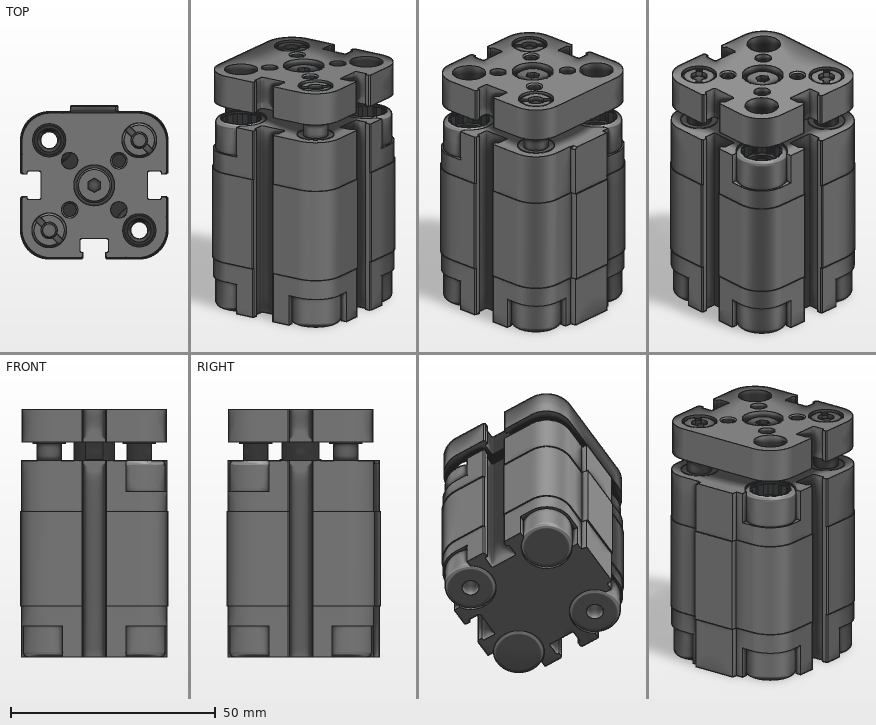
import cadquery as cq
import math

body_height = 48.0
yoke_gap = 4.5
yoke_thickness = 8.0
yoke_bottom = body_height + yoke_gap
yoke_top = yoke_bottom + yoke_thickness
corner_offset = 11.0
inner_hole_offset = 6.0

barrel_size = 36.0
cap_size = 35.6
yoke_size = 35.25
housing_round_center = 11.0
yoke_round_center = 10.8
bottom_cap_height = 12.5
top_cap_height = 12.5
barrel_height = body_height - bottom_cap_height - top_cap_height
barrel_top = bottom_cap_height + barrel_height

slot_neck_width = 5.5
slot_width = 6.9
slot_floor = 13.05
slot_shoulder = 16.4
slot_corner_radius = 0.4
slot_lip_radius = 0.3

rail_base_width = 11.8
rail_top_width = 11.4
rail_barrel_face = 19.5
rail_cap_face = 19.2
rail_bevel = 0.7

boss_diameter = 12.5
boss_height = 7.6
boss_round = 1.1
relief_inner = 7.7
socket_mouth_diameter = 10.0
socket_mouth_depth = 0.5
socket_across_flats = 8.6
socket_hexagon_angles = (45.0, 75.0)
socket_depth = 3.3
screw_bore_diameter = 7.2
screw_bore_depth = 4.2
thread_core_diameter = 4.13
thread_mouth_diameter = 5.8

rod_diameter = 10.0
rod_flats = 9.0
rod_round_length = 0.25
guide_diameter = 6.0
guide_collar_diameter = 8.0
guide_collar_height = 0.4
guide_recess_diameter = 9.0
guide_recess_depth = 0.2

access_hole_diameter = 8.1
plain_hole_diameter = 4.0
tapped_core_diameter = 3.24
tapped_mouth_diameter = 4.0
guide_pocket_diameter = 8.5
guide_head_diameter = 8.4
guide_pocket_depth = 0.9
guide_head_height = 0.5
guide_head_top_diameter = 7.4
driver_slot_angle = -45.0
driver_slot_width = 1.5
driver_slot_depth = 1.1
guide_socket_diameter = 4.0
guide_socket_depth = 1.3
guide_plug_height = 0.4
guide_plug_top_diameter = 3.24
counterbore_diameter = 10.0
counterbore_depth = 1.8
bolt_head_diameter = 8.5
bolt_head_height = 0.75
bolt_head_chamfer = 0.4
bolt_hex = 3.0
bolt_hex_angle = 0.0
bolt_hex_depth = 2.0

screw_corners = [(-corner_offset, corner_offset), (corner_offset, -corner_offset)]
guide_corners = [(-corner_offset, -corner_offset), (corner_offset, corner_offset)]
all_corners = screw_corners + guide_corners


def cylinder(point, bottom, height, diameter):
    return cq.Workplane("XY", origin=(*point, bottom)).circle(diameter / 2).extrude(height)


def cone(point, bottom, height, bottom_diameter, top_diameter):
    solid = cq.Solid.makeCone(
        bottom_diameter / 2, top_diameter / 2, height, cq.Vector(*point, bottom)
    )
    return cq.Workplane(solid)


def hex_prism(point, bottom, height, across_flats, angle):
    return (
        cq.Workplane("XY", origin=(*point, bottom))
        .transformed(rotate=(0, 0, angle))
        .polygon(6, across_flats, circumscribed=True)
        .extrude(height)
    )


def rounded_block(size, round_center, bottom, height):
    """Square prism whose vertical corners are rounded about the given centres."""
    radius = size / 2 - round_center
    block = cq.Workplane("XY", origin=(0, 0, bottom)).rect(size, size).extrude(height)
    return block.edges("|Z").fillet(radius)


def t_slots(size, bottom, height):
    """Cutters for the T-slots on the -Y, +X and -X sides of a block of the given size."""
    face = size / 2
    lip = slot_lip_radius
    half_neck = slot_neck_width / 2
    channel = (
        cq.Workplane("XY", origin=(0, -(slot_floor + slot_shoulder) / 2, bottom))
        .rect(slot_width, slot_shoulder - slot_floor)
        .extrude(height)
        .edges("|Z")
        .fillet(slot_corner_radius)
    )
    neck = (
        cq.Workplane("XY", origin=(0, 0, bottom))
        .moveTo(-half_neck, -slot_floor - slot_corner_radius)
        .lineTo(-half_neck, -face + lip)
        .radiusArc((-half_neck - lip, -face), -lip)
        .lineTo(half_neck + lip, -face)
        .radiusArc((half_neck, -face + lip), -lip)
        .lineTo(half_neck, -slot_floor - slot_corner_radius)
        .close()
        .extrude(height)
    )
    slot = channel.union(neck)
    cutters = slot
    for angle in (90, -90):
        cutters = cutters.union(slot.rotate((0, 0, 0), (0, 0, 1), angle))
    return cutters


def housing_section(size, rail_face, bottom, height):
    """One stretch of the housing: block with T-slots and the sensor rail."""
    half_base = rail_base_width / 2
    half_top = rail_top_width / 2
    rail_foot = barrel_size / 2
    rail_profile = [
        (-half_base, 0),
        (-half_base, rail_foot),
        (-half_top, rail_face),
        (half_top, rail_face),
        (half_base, rail_foot),
        (half_base, 0),
    ]
    rail = cq.Workplane("XY", origin=(0, 0, bottom)).polyline(rail_profile).close().extrude(height)
    block = rounded_block(size, housing_round_center, bottom, height)
    return block.cut(t_slots(size, bottom, height)).union(rail)


def rail_end_bevel():
    """Cutter that bevels the +X edge of the rail's upper end."""
    edge = rail_base_width / 2
    return (
        cq.Workplane("XZ", origin=(0, barrel_size / 2, 0))
        .polyline([
            (edge, body_height),
            (edge - rail_bevel, body_height),
            (edge, body_height - rail_bevel),
        ])
        .close()
        .extrude(-barrel_size / 2)
    )


def corner_relief(point, bottom):
    """Space around a boss: the square housing corner and the full boss circle."""
    side = cap_size / 2 - relief_inner
    center = relief_inner + side / 2
    x = math.copysign(center, point[0])
    y = math.copysign(center, point[1])
    corner = cq.Workplane("XY", origin=(x, y, bottom)).rect(side, side).extrude(boss_height)
    return corner.union(cylinder(point, bottom, boss_height, boss_diameter))


def screw_socket(point):
    """Twelve-point driver socket in the top of a corner screw, down to its bore."""
    mouth = cylinder(
        point, body_height - socket_mouth_depth, socket_mouth_depth, socket_mouth_diameter
    )
    for angle in socket_hexagon_angles:
        mouth = mouth.union(
            hex_prism(point, body_height - socket_depth, socket_depth, socket_across_flats, angle)
        )
    bore = cylinder(point, body_height - screw_bore_depth, screw_bore_depth, screw_bore_diameter)
    mouth_height = (thread_mouth_diameter - thread_core_diameter) / 2
    countersink = cone(
        point,
        body_height - screw_bore_depth - mouth_height,
        mouth_height,
        thread_core_diameter,
        thread_mouth_diameter,
    )
    return mouth.union(bore).union(countersink)


def make_housing():
    body = (
        housing_section(cap_size, rail_cap_face, 0, bottom_cap_height)
        .union(housing_section(barrel_size, rail_barrel_face, bottom_cap_height, barrel_height))
        .union(housing_section(cap_size, rail_cap_face, barrel_top, top_cap_height))
    )
    for point in all_corners:
        boss = cylinder(point, 0, boss_height, boss_diameter).faces("<Z").edges().fillet(boss_round)
        body = body.cut(corner_relief(point, 0)).union(boss)
    for point in screw_corners:
        bottom = body_height - boss_height
        boss = cylinder(point, bottom, boss_height, boss_diameter)
        boss = boss.faces(">Z").edges().fillet(boss_round)
        body = body.cut(corner_relief(point, bottom)).union(boss)
        body = body.cut(screw_socket(point))
        body = body.cut(cylinder(point, 0, body_height, thread_core_diameter))
    for point in guide_corners:
        body = body.cut(cylinder(point, barrel_top, top_cap_height, guide_diameter))
        recess_bottom = body_height - guide_recess_depth
        body = body.cut(cylinder(point, recess_bottom, guide_recess_depth, guide_recess_diameter))
    body = body.cut(cylinder((0, 0), barrel_top, top_cap_height, rod_diameter))
    return body.cut(rail_end_bevel())


def guide_head_cutter(point):
    """Pocket around a guide screw head, with the head's driver slot and central socket."""
    pocket_bottom = yoke_top - guide_pocket_depth
    head_top = pocket_bottom + guide_head_height
    socket_bottom = head_top - guide_socket_depth
    pocket = cylinder(point, pocket_bottom, guide_pocket_depth, guide_pocket_diameter)
    head = cone(
        point, pocket_bottom, guide_head_height, guide_head_diameter, guide_head_top_diameter
    )
    socket = cylinder(point, socket_bottom, guide_socket_depth, guide_socket_diameter)
    plug = cone(
        point, socket_bottom, guide_plug_height, guide_socket_diameter, guide_plug_top_diameter
    )
    slot_bottom = head_top - driver_slot_depth
    slot_limit = cylinder(point, slot_bottom, driver_slot_depth, guide_head_diameter)
    slot = (
        cq.Workplane("XY", origin=(*point, slot_bottom))
        .transformed(rotate=(0, 0, driver_slot_angle))
        .rect(guide_head_diameter, driver_slot_width)
        .extrude(driver_slot_depth)
        .intersect(slot_limit)
        .cut(socket)
    )
    return pocket.cut(head).union(slot).union(socket.cut(plug))


def inner_hole_point(corner):
    """Centre of the small yoke hole on the same diagonal as the given corner."""
    return tuple(math.copysign(inner_hole_offset, coordinate) for coordinate in corner)


def make_yoke_plate():
    plate = rounded_block(yoke_size, yoke_round_center, yoke_bottom, yoke_thickness)
    plate = plate.cut(t_slots(yoke_size, yoke_bottom, yoke_thickness))
    for corner in screw_corners:
        inner = inner_hole_point(corner)
        plate = plate.cut(cylinder(corner, yoke_bottom, yoke_thickness, access_hole_diameter))
        plate = plate.cut(cylinder(inner, yoke_bottom, yoke_thickness, plain_hole_diameter))
    mouth_depth = (tapped_mouth_diameter - tapped_core_diameter) / 2
    mouth_bottom = yoke_top - mouth_depth
    for corner in guide_corners:
        inner = inner_hole_point(corner)
        mouth = cone(inner, mouth_bottom, mouth_depth, tapped_core_diameter, tapped_mouth_diameter)
        plate = plate.cut(cylinder(inner, yoke_bottom, yoke_thickness, tapped_core_diameter))
        plate = plate.cut(mouth).cut(guide_head_cutter(corner))
    return plate


def add_center_bolt(plate):
    """Counterbore in the middle of the plate with the bolt head standing in it."""
    floor = yoke_top - counterbore_depth
    hex_bottom = floor + bolt_head_height - bolt_hex_depth
    head = cylinder((0, 0), floor, bolt_head_height, bolt_head_diameter)
    head = head.faces(">Z").edges().chamfer(bolt_head_chamfer)
    plate = plate.cut(cylinder((0, 0), floor, counterbore_depth, counterbore_diameter))
    hexagon = hex_prism((0, 0), hex_bottom, bolt_hex_depth, bolt_hex, bolt_hex_angle)
    return plate.union(head).cut(hexagon)


def guide_rod(point):
    collar_bottom = yoke_bottom - guide_collar_height
    collar = cylinder(point, collar_bottom, guide_collar_height, guide_collar_diameter)
    rod = cylinder(point, barrel_top, yoke_bottom - barrel_top, guide_diameter)
    return rod.union(collar)


def piston_rod():
    """Round rod with two wrench flats facing -Y and +Y below the yoke."""
    rod = cylinder((0, 0), barrel_top, yoke_bottom - barrel_top, rod_diameter)
    flat_bottom = body_height + rod_round_length
    flat_depth = rod_diameter - rod_flats
    for side in (-1, 1):
        flat = (
            cq.Workplane("XY", origin=(0, side * (rod_flats + flat_depth) / 2, flat_bottom))
            .rect(rod_diameter, flat_depth)
            .extrude(yoke_bottom - flat_bottom)
        )
        rod = rod.cut(flat)
    return rod


def make_yoke():
    yoke = add_center_bolt(make_yoke_plate()).union(piston_rod())
    for corner in guide_corners:
        yoke = yoke.union(guide_rod(corner))
    return yoke


housing = make_housing()
yoke = make_yoke()
result = cq.Compound.makeCompound([housing.val(), yoke.val()])